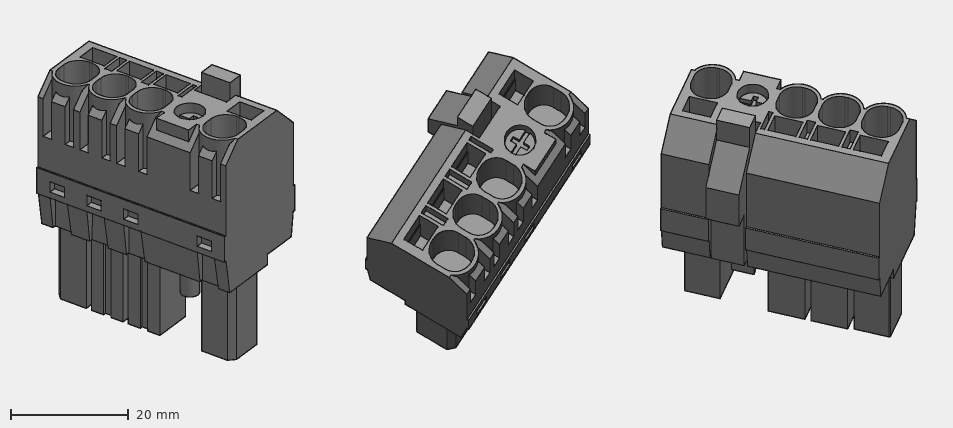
import cadquery as cq


PITCH = 7.65
WIRE_POLES = [-2, -1, 0, 2]
INNER_POLES = [-1, 0]
SCREW_X = PITCH

LENGTH = 39.0
BAND_DEPTH = 20.65
BAND_STEP = 0.35
WALL_FRONT = BAND_STEP
WALL_BACK = BAND_DEPTH - BAND_STEP
TOP_Z = 44.8
FRONT_CHAMFER = 3.55
BACK_CHAMFER = 4.9
BAND_TOP_Z = 27.35
BAND_BOTTOM_Z = 22.25
SKIRT_INSET = 0.45
SKIRT_FRONT = 1.5
SKIRT_BACK = 19.65
STEP_Y = 12.7
STEP_Z = 17.5
BOTTOM_Z = 15.45

BORE_WIDTH = 6.65
BORE_FRONT = 2.2
BORE_BACK = 9.85
BORE_CORNER = 3.05
COLLAR_RADIUS = 3.95
COLLAR_Y = 5.35
SLOT_OUTER = 3.15
SLOT_INNER = 1.45
ENTRY_FLOOR_Z = 33.75

OPENING_WIDTH = 5.0
OPENING_FRONT = 10.3
OPENING_BACK = 14.0
OPENING_LEDGE = 0.2
OPENING_LEDGE_Z = TOP_Z - BACK_CHAMFER
GAP_WIDTH = 1.5
GAP_FRONT = 9.65
GAP_BACK = OPENING_BACK
GAP_DEPTH = 2.85

BOSS_WIDTH = 6.7
BOSS_FRONT = 1.55
WINDOW_WIDTH = 2.95
WINDOW_BOTTOM_Z = 23.4
WINDOW_HEIGHT = 2.05
WINDOW_DEPTH = 1.35
RECESS_TOP_WIDTH = 3.6
RECESS_BOTTOM_WIDTH = 3.8
RECESS_BACK = 2.15

PLUG_HALF = 3.3
END_PLUG_OUTER = 3.15
PLUG_FRONT = 3.9
PLUG_BACK = 11.55
PLUG_FRONT_CHAMFER = 1.1
END_PLUG_BACK = 11.2
END_PLUG_BACK_CHAMFER = 0.2
GROOVE_WIDTH = 1.55
GROOVE_DEPTH = 0.55

KEY_WIDTH = 3.95
KEY_FRONT = 9.55
KEY_BACK = 12.05
KEY_BOTTOM_Z = 8.3
KEY_BEVEL_Z = 11.2
KEY_BEVEL = 1.9

NOTCH_WIDTH = 6.7
LATCH_WIDTH = 5.9
TAB_FRONT = 14.2
TAB_BACK = 17.3
TAB_TOP_Z = 47.7
LATCH_BACK = 23.2
LATCH_SHELF_Z = 29.9
LATCH_BOTTOM_Z = 18.13
LATCH_SLOPE_SUM = 60.4

SCREW_Y = 6.65
HEAD_RADIUS = 2.55
HEAD_HOLE_RADIUS = 2.65
HEAD_TOP_Z = 42.95
HEAD_HEIGHT = 3.8
SHANK_RADIUS = 1.65
SHANK_BOTTOM_Z = 8.82
DRIVE_WIDTH = 0.85
DRIVE_LENGTH = 3.3
DRIVE_DEPTH = 0.95


def block(x_min, x_max, y_min, y_max, z_min, z_max):
    """Box between the given limits."""
    size = (x_max - x_min, y_max - y_min, z_max - z_min)
    return cq.Workplane("XY").box(*size, centered=False).translate((x_min, y_min, z_min))


def centred_block(x, width, y_min, y_max, z_min, z_max):
    """Box centred on x along the row of poles."""
    return block(x - width / 2, x + width / 2, y_min, y_max, z_min, z_max)


def cylinder(x, y, radius, z_min, z_max):
    """Upright cylinder."""
    return cq.Workplane("XY", origin=(x, y, z_min)).circle(radius).extrude(z_max - z_min)


def side_profile(points, x, width):
    """Extrude a (Y, Z) outline along X, centred on x."""
    return cq.Workplane("YZ", origin=(x - width / 2, 0, 0)).polyline(points).close().extrude(width)


def housing_shell():
    """Solid outer form: chamfered walls, band, tapered skirt and stepped underside."""
    outline = [
        (WALL_FRONT + FRONT_CHAMFER, TOP_Z),
        (WALL_FRONT, TOP_Z - FRONT_CHAMFER),
        (WALL_FRONT, BAND_TOP_Z),
        (0, BAND_TOP_Z),
        (0, BAND_BOTTOM_Z),
        (SKIRT_INSET, BAND_BOTTOM_Z),
        (SKIRT_FRONT, BOTTOM_Z),
        (STEP_Y, BOTTOM_Z),
        (STEP_Y, STEP_Z),
        (SKIRT_BACK, STEP_Z),
        (BAND_DEPTH - SKIRT_INSET, BAND_BOTTOM_Z),
        (BAND_DEPTH, BAND_BOTTOM_Z),
        (BAND_DEPTH, BAND_TOP_Z),
        (WALL_BACK, BAND_TOP_Z),
        (WALL_BACK, TOP_Z - BACK_CHAMFER),
        (WALL_BACK - BACK_CHAMFER, TOP_Z),
    ]
    return side_profile(outline, 0, LENGTH)


def entry_slots(x):
    """Two front slots; the collar later closes their inner ends."""
    slots = centred_block(x, 2 * SLOT_OUTER, 0, COLLAR_Y, ENTRY_FLOOR_Z, TOP_Z)
    rib = centred_block(x, 2 * SLOT_INNER, 0, COLLAR_Y, ENTRY_FLOOR_Z, TOP_Z)
    return slots.cut(rib)


def entry_bore(x):
    """Wire bore with an outline close to a circle: a rectangle with very round corners."""
    bore = centred_block(x, BORE_WIDTH, BORE_FRONT, BORE_BACK, ENTRY_FLOOR_Z, TOP_Z)
    return bore.edges("|Z").fillet(BORE_CORNER)


def test_opening(x):
    """Rectangular opening behind a wire entry, narrowed by a small ledge on its rear wall."""
    outline = [
        (OPENING_FRONT, TOP_Z),
        (OPENING_FRONT, ENTRY_FLOOR_Z),
        (OPENING_BACK - OPENING_LEDGE, ENTRY_FLOOR_Z),
        (OPENING_BACK - OPENING_LEDGE, OPENING_LEDGE_Z),
        (OPENING_BACK, OPENING_LEDGE_Z),
        (OPENING_BACK, TOP_Z),
    ]
    return side_profile(outline, x, OPENING_WIDTH)


def skirt_recess(x):
    """Pocket in the skirt below a pole, slightly wider at the bottom."""
    top = RECESS_TOP_WIDTH / 2
    bottom = RECESS_BOTTOM_WIDTH / 2
    outline = [
        (x - top, BAND_BOTTOM_Z),
        (x + top, BAND_BOTTOM_Z),
        (x + bottom, BOTTOM_Z),
        (x - bottom, BOTTOM_Z),
    ]
    return cq.Workplane("XZ").polyline(outline).close().extrude(-RECESS_BACK)


def front_window(x):
    """Small blind window in the band."""
    top_z = WINDOW_BOTTOM_Z + WINDOW_HEIGHT
    return centred_block(x, WINDOW_WIDTH, 0, WINDOW_DEPTH, WINDOW_BOTTOM_Z, top_z)


def pole_gaps():
    """Narrow blind slots between the test openings; the last one has only its left half."""
    floor_z = TOP_Z - GAP_DEPTH
    last_gap_x = PITCH / 2
    gaps = block(last_gap_x - GAP_WIDTH / 2, last_gap_x, GAP_FRONT, GAP_BACK, floor_z, TOP_Z)
    for pole in INNER_POLES:
        gap_x = pole * PITCH - PITCH / 2
        gaps = gaps.union(centred_block(gap_x, GAP_WIDTH, GAP_FRONT, GAP_BACK, floor_z, TOP_Z))
    return gaps


def inner_plug(x):
    """Plug with a groove down its front."""
    plug = centred_block(x, 2 * PLUG_HALF, PLUG_FRONT, PLUG_BACK, 0, BOTTOM_Z)
    groove_back = PLUG_FRONT + GROOVE_DEPTH
    return plug.cut(centred_block(x, GROOVE_WIDTH, PLUG_FRONT, groove_back, 0, BOTTOM_Z))


def end_plug(pole):
    """Plug with chamfered edges on the side facing the end of the housing."""
    x = pole * PITCH
    side = 1 if pole > 0 else -1
    inner = x - side * PLUG_HALF
    outer = x + side * END_PLUG_OUTER
    outline = [
        (inner, PLUG_FRONT),
        (outer - side * PLUG_FRONT_CHAMFER, PLUG_FRONT),
        (outer, PLUG_FRONT + PLUG_FRONT_CHAMFER),
        (outer, END_PLUG_BACK - END_PLUG_BACK_CHAMFER),
        (outer - side * END_PLUG_BACK_CHAMFER, END_PLUG_BACK),
        (inner, END_PLUG_BACK),
    ]
    return cq.Workplane("XY").polyline(outline).close().extrude(BOTTOM_Z)


def key_tab():
    """Tab below the housing behind the screw, bevelled towards its tip."""
    outline = [
        (KEY_FRONT, BOTTOM_Z),
        (KEY_FRONT, KEY_BEVEL_Z),
        (KEY_FRONT + KEY_BEVEL, KEY_BOTTOM_Z),
        (KEY_BACK, KEY_BOTTOM_Z),
        (KEY_BACK, BOTTOM_Z),
    ]
    return side_profile(outline, SCREW_X, KEY_WIDTH)


def make_housing():
    body = housing_shell()
    chamfer_back = WALL_FRONT + FRONT_CHAMFER
    chamfer_foot = TOP_Z - FRONT_CHAMFER
    body = body.union(
        centred_block(SCREW_X, BOSS_WIDTH, BOSS_FRONT, chamfer_back, chamfer_foot, TOP_Z)
    )
    for pole in WIRE_POLES:
        x = pole * PITCH
        body = body.cut(entry_slots(x))
        body = body.union(cylinder(x, COLLAR_Y, COLLAR_RADIUS, ENTRY_FLOOR_Z, TOP_Z))
    for pole in WIRE_POLES:
        x = pole * PITCH
        body = body.cut(entry_bore(x)).cut(test_opening(x))
        body = body.cut(front_window(x)).cut(skirt_recess(x))
        plug = inner_plug(x) if pole in INNER_POLES else end_plug(pole)
        body = body.union(plug)
    body = body.cut(pole_gaps())
    body = body.cut(centred_block(SCREW_X, NOTCH_WIDTH, STEP_Y, BAND_DEPTH, BOTTOM_Z, TOP_Z))
    body = body.union(key_tab())
    body = body.cut(cylinder(SCREW_X, SCREW_Y, SHANK_RADIUS, BOTTOM_Z, TOP_Z))
    return body.cut(cylinder(SCREW_X, SCREW_Y, HEAD_HOLE_RADIUS, HEAD_TOP_Z - HEAD_HEIGHT, TOP_Z))


def make_latch():
    """Latch standing in the notch, with a release tab on top and a sloped back."""
    outline = [
        (STEP_Y, LATCH_BOTTOM_Z),
        (WALL_BACK, LATCH_BOTTOM_Z),
        (WALL_BACK, LATCH_SHELF_Z),
        (LATCH_BACK, LATCH_SHELF_Z),
        (LATCH_BACK, LATCH_SLOPE_SUM - LATCH_BACK),
        (TAB_BACK, LATCH_SLOPE_SUM - TAB_BACK),
        (TAB_BACK, TAB_TOP_Z),
        (TAB_FRONT, TAB_TOP_Z),
        (TAB_FRONT, LATCH_SHELF_Z),
        (STEP_Y, LATCH_SHELF_Z),
    ]
    return side_profile(outline, SCREW_X, LATCH_WIDTH)


def make_screw():
    """Cross-recessed screw: one drive slot crosses the head, the other is shorter."""
    screw = cylinder(SCREW_X, SCREW_Y, HEAD_RADIUS, HEAD_TOP_Z - HEAD_HEIGHT, HEAD_TOP_Z)
    screw = screw.union(
        cylinder(SCREW_X, SCREW_Y, SHANK_RADIUS, SHANK_BOTTOM_Z, HEAD_TOP_Z - HEAD_HEIGHT)
    )
    drive_sizes = [(2 * HEAD_RADIUS, DRIVE_WIDTH), (DRIVE_WIDTH, DRIVE_LENGTH)]
    for size_x, size_y in drive_sizes:
        y_min = SCREW_Y - size_y / 2
        y_max = SCREW_Y + size_y / 2
        screw = screw.cut(
            centred_block(SCREW_X, size_x, y_min, y_max, HEAD_TOP_Z - DRIVE_DEPTH, HEAD_TOP_Z)
        )
    return screw


housing = make_housing()
latch = make_latch()
screw = make_screw()

result = cq.Compound.makeCompound([housing.solids().val(), latch.val(), screw.solids().val()])